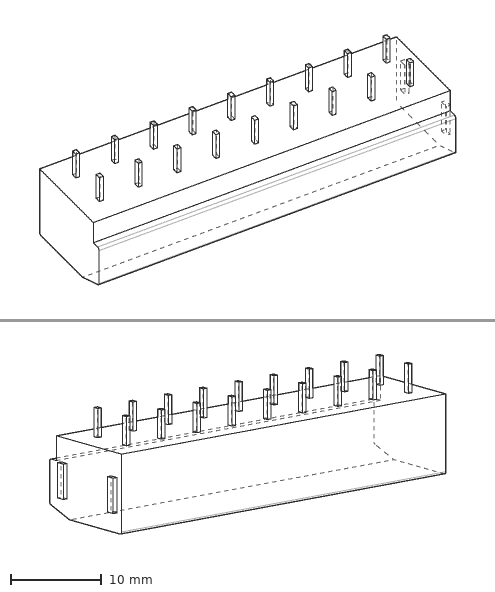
import cadquery as cq

body_width = 12.6
body_length = 46.0
body_height = 9.1
step_width = 1.2
step_depth = 2.8
slope_width = 3.5
slope_height = 1.2
edge_radius = 0.3

pin_width = 0.7
pin_thickness = 0.5
pin_height = 3.3
pin_pitch = 5.0
pins_per_row = 9
pin_rows = 2
first_row_x = 3.15
row_spacing = 5.0
pin_end_margin = 3.2

rib_width = 1.0
rib_height = 4.0
rib_depth = 0.5
rib_bottom = 2.3
first_rib_x = 1.35
rib_spacing = 8.7
rib_count = 2

ledge_height = body_height - step_depth


def make_housing():
    """Stepped profile extruded along +Y, with three rounded long edges."""
    profile = [
        (0, 0),
        (body_width - slope_width, 0),
        (body_width, slope_height),
        (body_width, ledge_height),
        (body_width - step_width, ledge_height),
        (body_width - step_width, body_height),
        (0, body_height),
    ]
    housing = cq.Workplane("XZ").polyline(profile).close().extrude(-body_length)
    rounded_corners = [(0, 0), (body_width, slope_height), (body_width, ledge_height)]
    for x, z in rounded_corners:
        edge_middle = (x, body_length / 2, z)
        long_edge = housing.edges(cq.selectors.NearestToPointSelector(edge_middle))
        housing = long_edge.fillet(edge_radius)
    return housing


def make_pins():
    """Rectangular pins standing on the top face."""
    last_y = body_length - pin_end_margin
    centres = [
        (first_row_x + row * row_spacing, last_y - index * pin_pitch)
        for row in range(pin_rows)
        for index in range(pins_per_row)
    ]
    pins = cq.Workplane("XY", origin=(0, 0, body_height)).pushPoints(centres)
    return pins.rect(pin_width, pin_thickness).extrude(pin_height)


def make_ribs():
    """Upright ribs on the +Y end face."""
    rib_middle_z = rib_bottom + rib_height / 2
    centres = [(first_rib_x + index * rib_spacing, rib_middle_z) for index in range(rib_count)]
    ribs = cq.Workplane("XZ", origin=(0, body_length, 0)).pushPoints(centres)
    return ribs.rect(rib_width, rib_height).extrude(-rib_depth)


result = make_housing().union(make_pins()).union(make_ribs())